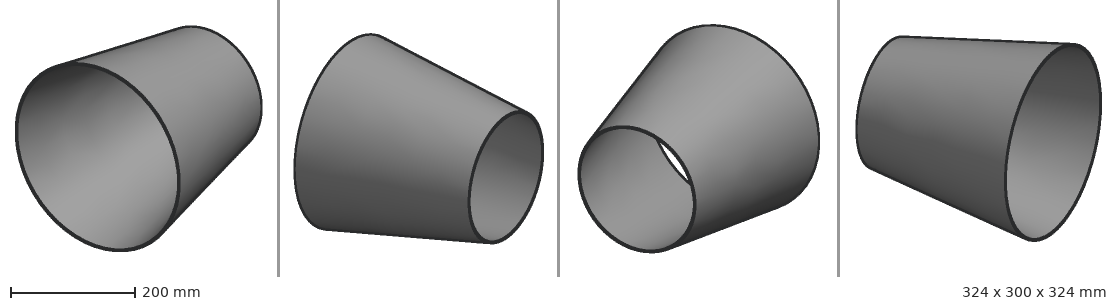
import cadquery as cq

large_diameter = 324.0
small_diameter = 219.0
length = 300.0
wall = 3.0

large_radius = large_diameter / 2
small_radius = small_diameter / 2

wall_section = (
    cq.Workplane("XY")
    .moveTo(large_radius - wall, 0)
    .lineTo(large_radius, 0)
    .lineTo(small_radius, length)
    .lineTo(small_radius - wall, length)
    .close()
)

result = wall_section.revolve(360, (0, 0, 0), (0, 1, 0))